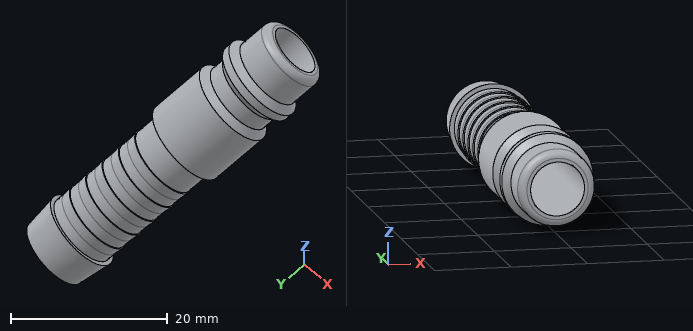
import cadquery as cq

length = 44.0
body_radius = 5.0
bore_radius = 3.5
nose_fillet = 1.0

collar_radius = 12.0 / 2
bevel = collar_radius - body_radius
flange_start = 4.95
flange_width = 3.15
collar_start = 10.4
collar_end = 19.98

hose_end_length = 5.0
hose_end_radius = 5.65

barb_count = 5
barb_radius = 5.2
barb_length = 1.5
barb_pitch = 3.0
first_barb_end = length - 8.0

nose_y = -length / 2


def revolve_about_y(outline):
    """Revolve a closed (radius, distance from nose) outline about the Y axis."""
    profile = cq.Workplane("XY").polyline([(radius, nose_y + y) for radius, y in outline]).close()
    return profile.revolve(360, (0, 0, 0), (0, 1, 0))


def cylinder(radius):
    """Full-length cylinder on the Y axis."""
    return revolve_about_y([(0, 0), (radius, 0), (radius, length), (0, length)])


def flange():
    """Locking ring beveled on both sides."""
    end = flange_start + flange_width
    return revolve_about_y([
        (0, flange_start),
        (body_radius, flange_start),
        (collar_radius, flange_start + bevel),
        (collar_radius, end - bevel),
        (body_radius, end),
        (0, end),
    ])


def collar():
    """Collar with a bevel facing the nose and a square hose stop."""
    return revolve_about_y([
        (0, collar_start),
        (body_radius, collar_start),
        (collar_radius, collar_start + bevel),
        (collar_radius, collar_end),
        (0, collar_end),
    ])


def barb(shoulder_y, barb_size, taper_length):
    """Cone with a square shoulder, tapering to the body towards the hose end."""
    tip_y = shoulder_y + taper_length
    return revolve_about_y([(0, shoulder_y), (barb_size, shoulder_y), (body_radius, tip_y), (0, tip_y)])


body = cylinder(body_radius).faces("<Y").edges().fillet(nose_fillet)
body = body.union(flange()).union(collar())
body = body.union(barb(length - hose_end_length, hose_end_radius, hose_end_length))
for index in range(barb_count):
    shoulder = first_barb_end - index * barb_pitch
    body = body.union(barb(shoulder, barb_radius, barb_length))

result = body.cut(cylinder(bore_radius))